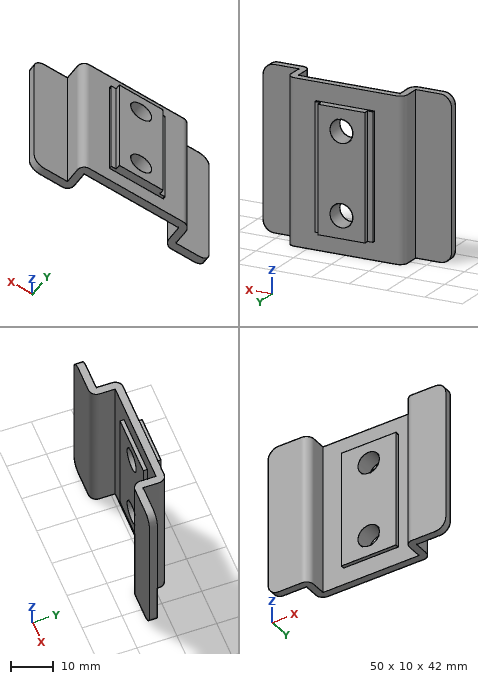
import cadquery as cq

overall_width = 50.0
height = 42.0
sheet = 2.0
channel_depth = 8.0
channel_width = 31.0
bend_radius = sheet
corner_radius = 3.0

pad_width = 15.4
pad_height = 32.5
pad_front = 5.0
pad_shoulder = 8.7
pad_back = 10.0
pad_step_width = 12.5

hole_diameter = 6.0
hole_spacing = 21.0


def slab(width, front, back, tall):
    """Block centred on X and Z, reaching from front to back along Y."""
    return cq.Workplane("XY").box(width, back - front, tall).translate((0, (front + back) / 2, 0))


def make_bracket():
    """Sheet profile swept along Z, with the free flange corners rounded."""
    half_width = overall_width / 2
    wall_outer = channel_width / 2
    wall_inner = wall_outer - sheet
    web_front = channel_depth - sheet

    half = (
        cq.Workplane("XY", origin=(0, 0, -height / 2))
        .moveTo(0, web_front)
        .lineTo(wall_inner, web_front)
        .lineTo(wall_inner, bend_radius)
        .radiusArc((wall_inner + bend_radius, 0), -bend_radius)
        .lineTo(half_width, 0)
        .lineTo(half_width, sheet)
        .lineTo(wall_outer, sheet)
        .lineTo(wall_outer, channel_depth - bend_radius)
        .radiusArc((wall_outer - bend_radius, channel_depth), -bend_radius)
        .lineTo(0, channel_depth)
        .close()
        .extrude(height)
    )
    half = half.faces(">X").edges("|Y").fillet(corner_radius)
    return half.union(half.mirror("YZ"))


def make_pad():
    wide = slab(pad_width, pad_front, pad_shoulder, pad_height)
    narrow = slab(pad_step_width, pad_shoulder, pad_back, pad_height)
    return wide.union(narrow)


def make_holes():
    return (
        cq.Workplane("XZ")
        .pushPoints([(0, -hole_spacing / 2), (0, hole_spacing / 2)])
        .circle(hole_diameter / 2)
        .extrude(-pad_back)
    )


result = make_bracket().union(make_pad()).cut(make_holes())